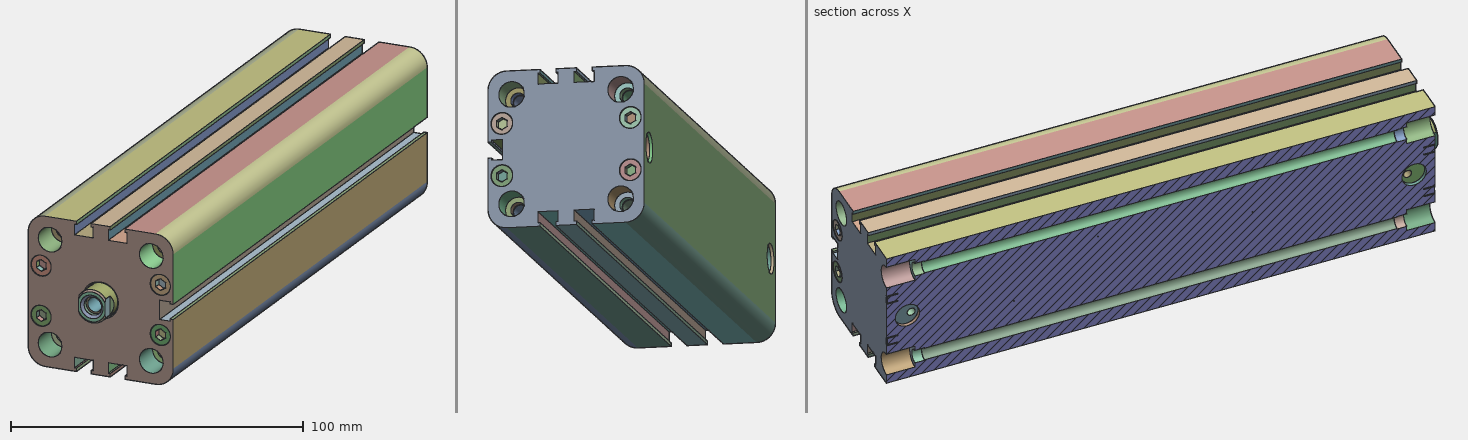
import cadquery as cq

total_length = 212.0
body_side = 54.7
half_side = body_side / 2
corner_radius = 6.5
rod_length = 7.2
body_length = total_length - rod_length

slot_mouth = 5.5
slot_width = 7.0
slot_depth = 5.0
lip_height = 1.3
slot_offset = 6.4

mount_offset = 19.0
mount_through_diameter = 4.9
mount_neck_diameter = 5.3
mount_neck_end = 14.2
mount_bore_diameter = 9.0
mount_bore_depth = 10.5

screw_x = 22.5
screw_z = 9.1
screw_recess_diameter = 7.6
screw_head_diameter = 7.5
screw_recess_depth = 4.2
screw_head_drop = 0.2
socket_corner_diameter = 4.2
socket_depth = 2.5

port_end_distance = 7.8
port_diameter = 9.0
port_mouth_diameter = 10.5
port_chamfer = (port_mouth_diameter - port_diameter) / 2
port_depth = 9.5
passage_diameter = 3.0
passage_offset = 2.0
passage_depth = 4.2

rod_diameter = 12.0
rod_chamfer = 0.6
rod_gap_diameter = 12.5
rod_gap_mouth_diameter = 13.4
rod_gap_chamfer = (rod_gap_mouth_diameter - rod_gap_diameter) / 2
rod_gap_depth = 3.2
flat_width = 10.0
flat_start = 3.2
rod_hole_diameter = 5.3
rod_hole_relief_diameter = 6.5
rod_hole_relief_depth = 2.5
rod_hole_mouth_diameter = 8.5
rod_hole_chamfer = (rod_hole_mouth_diameter - rod_hole_relief_diameter) / 2
rod_hole_depth = 12.7
drill_tip_length = 1.7


def cylinder(diameter, length, start, direction):
    return cq.Workplane(cq.Solid.makeCylinder(diameter / 2, length, cq.Vector(*start), cq.Vector(*direction)))


def cone(diameter, end_diameter, length, start, direction):
    return cq.Workplane(
        cq.Solid.makeCone(diameter / 2, end_diameter / 2, length, cq.Vector(*start), cq.Vector(*direction))
    )


def body():
    """Square bar with rounded long edges, from the front face at Y = 0 to the back."""
    block = cq.Workplane("XY").box(body_side, body_length, body_side)
    return block.translate((0, body_length / 2, 0)).edges("|Y").fillet(corner_radius)


def slot(offset, angle):
    """Full-length slot in the top face, turned about the rod axis."""
    mouth = cq.Workplane("XY").box(slot_mouth, body_length, slot_depth)
    mouth = mouth.translate((offset, body_length / 2, half_side - slot_depth / 2))
    channel_height = slot_depth - lip_height
    channel = cq.Workplane("XY").box(slot_width, body_length, channel_height)
    channel = channel.translate((offset, body_length / 2, half_side - slot_depth + channel_height / 2))
    return mouth.union(channel).rotate((0, 0, 0), (0, 1, 0), angle)


def screw_recess(x, z):
    """Counterbore filled by a screw head with a hexagon socket."""
    recess = cylinder(screw_recess_diameter, screw_recess_depth, (x, 0, z), (0, 1, 0))
    head_length = screw_recess_depth - screw_head_drop
    head = cylinder(screw_head_diameter, head_length, (x, screw_head_drop, z), (0, 1, 0))
    socket = (
        cq.Workplane("XZ", origin=(x, screw_head_drop, z))
        .transformed(rotate=(0, 0, 90))
        .polygon(6, socket_corner_diameter)
        .extrude(-socket_depth)
    )
    return recess.cut(head.cut(socket))


def port():
    """Stepped air port whose passage sits nearer the middle of the body."""
    start = (-half_side, port_end_distance, 0)
    bore = cylinder(port_diameter, port_depth, start, (1, 0, 0))
    mouth = cone(port_mouth_diameter, port_diameter, port_chamfer, start, (1, 0, 0))
    passage_start = (port_depth - half_side, port_end_distance + passage_offset, 0)
    passage = cylinder(passage_diameter, passage_depth, passage_start, (1, 0, 0))
    return bore.union(mouth).union(passage)


def end_cuts():
    """Everything cut into the front end; the back end mirrors it."""
    cuts = [port()]
    for side_x in (-1, 1):
        for side_z in (-1, 1):
            mount_start = (side_x * mount_offset, 0, side_z * mount_offset)
            cuts.append(cylinder(mount_bore_diameter, mount_bore_depth, mount_start, (0, 1, 0)))
            cuts.append(cylinder(mount_neck_diameter, mount_neck_end, mount_start, (0, 1, 0)))
            cuts.append(screw_recess(side_x * screw_x, side_z * screw_z))
    return cuts


def rod_gap():
    """Clearance around the rod where it leaves the body."""
    bore = cylinder(rod_gap_diameter, rod_gap_depth, (0, 0, 0), (0, 1, 0))
    mouth = cone(rod_gap_mouth_diameter, rod_gap_diameter, rod_gap_chamfer, (0, 0, 0), (0, 1, 0))
    return bore.union(mouth)


def rod():
    """Chamfered rod end with two spanner flats that run out at 45 degrees."""
    bar = cylinder(rod_diameter, rod_gap_depth + rod_length, (0, rod_gap_depth, 0), (0, -1, 0))
    bar = bar.faces("<Y").chamfer(rod_chamfer)
    flat_cut_width = (rod_diameter - flat_width) / 2
    flat = (
        cq.Workplane("XY", origin=(0, 0, -rod_diameter / 2))
        .moveTo(flat_width / 2, -rod_length)
        .lineTo(flat_width / 2, -flat_start)
        .line(flat_cut_width, flat_cut_width)
        .lineTo(flat_width / 2 + flat_cut_width, -rod_length)
        .close()
        .extrude(rod_diameter)
    )
    return bar.cut(flat).cut(flat.mirror("YZ"))


def rod_hole():
    """Blind hole in the rod end with a relief, a countersunk mouth and a drill tip."""
    start = (0, -rod_length, 0)
    drill = cylinder(rod_hole_diameter, rod_hole_depth, start, (0, 1, 0))
    relief = cylinder(rod_hole_relief_diameter, rod_hole_relief_depth, start, (0, 1, 0))
    mouth = cone(rod_hole_mouth_diameter, rod_hole_relief_diameter, rod_hole_chamfer, start, (0, 1, 0))
    tip = cone(rod_hole_diameter, 0, drill_tip_length, (0, rod_hole_depth - rod_length, 0), (0, 1, 0))
    return drill.union(relief).union(mouth).union(tip)


result = body()

for slot_x in (-slot_offset, slot_offset):
    for face_angle in (0, 180):
        result = result.cut(slot(slot_x, face_angle))
result = result.cut(slot(0, 90))

for mount_x in (-mount_offset, mount_offset):
    for mount_z in (-mount_offset, mount_offset):
        result = result.cut(cylinder(mount_through_diameter, body_length, (mount_x, 0, mount_z), (0, 1, 0)))

for front_cut in end_cuts():
    back_cut = front_cut.mirror("XZ", (0, body_length / 2, 0))
    result = result.cut(front_cut).cut(back_cut)

result = result.cut(rod_gap()).union(rod()).cut(rod_hole())